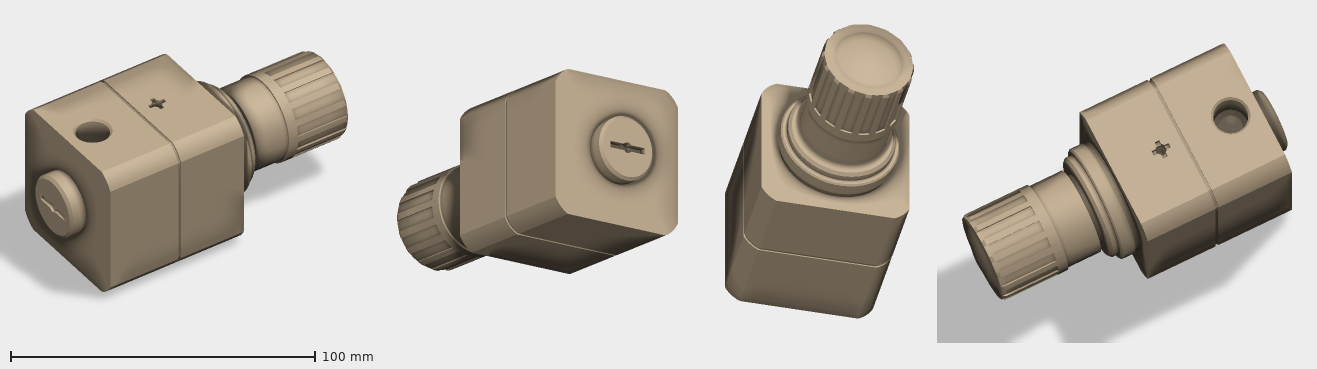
import cadquery as cq
import math


FULL_TURN = 360

block_width = 50.0
corner_reach = 5.0
corner_radius = 10.9
front_half_length = 27.0
seam_groove_width = 1.1
seam_groove_depth = 0.4
rear_half_length = 24.9
block_length = front_half_length + seam_groove_width + rear_half_length
half_width = block_width / 2

port_y = 10.0
port_mouth_diameter = 13.0
port_diameter = 11.5
port_floor_diameter = 8.0
port_depth = 10.9
port_cone_depth = 1.0

screw_y = 35.6
screw_diameter = 11.0
screw_length = 6.6
screw_bore_diameter = 3.6
screw_bore_depth = 2.7
cross_length = 6.2
cross_width = 1.6
cross_depth = 1.5

collar_diameter = 38.7
collar_end = block_length + 1.8
ring_diameter = 40.0
ring_chamfer = 0.5
ring_end = collar_end + 5.3
thread_diameter = 36.1
thread_chamfer = 1.0
thread_end = ring_end + 3.1
neck_diameter = 24.9
neck_end = thread_end + 2.0

sleeve_diameter = 29.6
sleeve_length = 12.5
grip_diameter = 31.1
grip_length = 23.7
grip_edge_length = 1.0
grip_edge_depth = 0.5
dome_diameter = 22.9
end_plug_length = 6.0
overall_length = 109.4
grip_start = neck_end + sleeve_length
grip_end = grip_start + grip_length
dome_tip = overall_length - end_plug_length

recess_count = 16
recess_width = 3.8
recess_depth = 0.7
recess_start = grip_start + 3.6

end_plug_diameter = 22.0
end_plug_chamfer = 1.0
slot_length = 14.1
slot_width = 2.2
slot_bore_diameter = 3.6
slot_depth = 2.7
slot_bore_depth = 3.3


def cylinder_along_y(diameter, start, end):
    """Cylinder on the Y axis between two Y positions."""
    base = cq.Workplane("XZ", origin=(0, start, 0))
    return base.circle(diameter / 2).extrude(start - end)


def block_outline(plane, side):
    """Square outline of half width `side`, with corner arcs that meet the flats at a slight angle."""
    chord_half = corner_reach / math.sqrt(2)
    bulge = corner_radius - math.sqrt(corner_radius**2 - chord_half**2)
    corner = side - corner_reach
    middle = side - corner_reach / 2 + bulge / math.sqrt(2)
    return (
        plane.moveTo(-corner, -side)
        .lineTo(corner, -side)
        .threePointArc((middle, -middle), (side, -corner))
        .lineTo(side, corner)
        .threePointArc((middle, middle), (corner, side))
        .lineTo(-corner, side)
        .threePointArc((-middle, middle), (-side, corner))
        .lineTo(-side, -corner)
        .threePointArc((-middle, -middle), (-corner, -side))
        .close()
    )


def block_slice(start, length, side):
    """Length of the housing block along +Y."""
    return block_outline(cq.Workplane("XZ", origin=(0, start, 0)), side).extrude(-length)


def make_port_cutter():
    """Inlet port: countersunk mouth, straight bore and a conical step down to a flat floor."""
    mouth_depth = (port_mouth_diameter - port_diameter) / 2
    profile = (
        cq.Workplane("XZ", origin=(0, port_y, 0))
        .moveTo(0, half_width)
        .lineTo(port_mouth_diameter / 2, half_width)
        .lineTo(port_diameter / 2, half_width - mouth_depth)
        .lineTo(port_diameter / 2, half_width - port_depth)
        .lineTo(port_floor_diameter / 2, half_width - port_depth - port_cone_depth)
        .lineTo(0, half_width - port_depth - port_cone_depth)
        .close()
    )
    return profile.revolve(FULL_TURN, (0, 0, 0), (0, 1, 0))


def make_screw_blank():
    """Solid cylinder of the screw plug, also used to cut its hole in the housing."""
    top = cq.Workplane("XY", origin=(0, screw_y, half_width))
    return top.circle(screw_diameter / 2).extrude(-screw_length)


def make_housing():
    """Block with a seam groove, and behind it the stepped neck that carries the knob."""
    front = block_slice(0, front_half_length, half_width)
    groove_floor = block_slice(front_half_length, seam_groove_width, half_width - seam_groove_depth)
    rear = block_slice(front_half_length + seam_groove_width, rear_half_length, half_width)
    collar = cylinder_along_y(collar_diameter, block_length, collar_end)
    ring = cylinder_along_y(ring_diameter, collar_end, ring_end).edges().chamfer(ring_chamfer)
    thread = cylinder_along_y(thread_diameter, ring_end, thread_end)
    thread = thread.faces(">Y").edges().chamfer(thread_chamfer)
    neck = cylinder_along_y(neck_diameter, thread_end, neck_end)
    housing = front.union(groove_floor).union(rear)
    housing = housing.union(collar).union(ring).union(thread).union(neck)
    return housing.cut(make_port_cutter()).cut(make_screw_blank())


def make_screw_plug():
    """Flush screw with a cross recess and a conical centre bore."""
    top = cq.Workplane("XY", origin=(0, screw_y, half_width))
    cross = top.rect(cross_length, cross_width).extrude(-cross_depth)
    cross = cross.union(top.rect(cross_width, cross_length).extrude(-cross_depth))
    bore_radius = screw_bore_diameter / 2
    bore_floor = half_width - screw_bore_depth
    bore = (
        cq.Workplane("XZ", origin=(0, screw_y, 0))
        .moveTo(0, half_width)
        .lineTo(bore_radius, half_width)
        .lineTo(bore_radius, bore_floor)
        .lineTo(0, bore_floor - bore_radius)
        .close()
        .revolve(FULL_TURN, (0, 0, 0), (0, 1, 0))
    )
    return make_screw_blank().cut(cross).cut(bore)


def make_end_plug():
    """Round boss on the front face with a screwdriver slot and a centre bore."""
    plug = cylinder_along_y(end_plug_diameter, -end_plug_length, 0)
    plug = plug.faces("<Y").edges().chamfer(end_plug_chamfer)
    front = cq.Workplane("XZ", origin=(0, -end_plug_length, 0))
    slot = front.rect(slot_length, slot_width).extrude(-slot_depth)
    bore = front.circle(slot_bore_diameter / 2).extrude(-slot_bore_depth)
    return plug.cut(slot).cut(bore)


def make_knob_blank():
    """Sleeve, grip with a bevelled rim, and shallow dome, revolved as one profile."""
    dome_radius = dome_diameter / 2
    dome_height = dome_tip - grip_end
    sphere_radius = (dome_radius**2 + dome_height**2) / (2 * dome_height)
    arc_x = dome_radius / 2
    arc_y = dome_tip - sphere_radius + math.sqrt(sphere_radius**2 - arc_x**2)
    grip_radius = grip_diameter / 2
    return (
        cq.Workplane("XY")
        .moveTo(0, neck_end)
        .lineTo(sleeve_diameter / 2, neck_end)
        .lineTo(sleeve_diameter / 2, grip_start)
        .lineTo(grip_radius, grip_start)
        .lineTo(grip_radius, grip_end - grip_edge_length)
        .lineTo(grip_radius - grip_edge_depth, grip_end)
        .lineTo(dome_radius, grip_end)
        .threePointArc((arc_x, arc_y), (0, dome_tip))
        .close()
        .revolve(FULL_TURN, (0, 0, 0), (0, 1, 0))
    )


def make_knob():
    """Knob with straight-sided finger recesses that are open at the rear rim."""
    knob = make_knob_blank()
    recess_length = grip_end - recess_start
    grip_core = cylinder_along_y(grip_diameter - 2 * recess_depth, recess_start, grip_end)
    recess = (
        cq.Workplane("XY")
        .box(recess_width, recess_length, grip_diameter, centered=(True, False, False))
        .translate((0, recess_start, 0))
        .cut(grip_core)
    )
    pitch = FULL_TURN / recess_count
    for index in range(recess_count):
        angle = (index + 0.5) * pitch
        knob = knob.cut(recess.rotate((0, 0, 0), (0, 1, 0), angle))
    return knob


housing = make_housing()
screw_plug = make_screw_plug()
end_plug = make_end_plug()
knob = make_knob()

result = cq.Compound.makeCompound([housing.val(), screw_plug.val(), end_plug.val(), knob.val()])